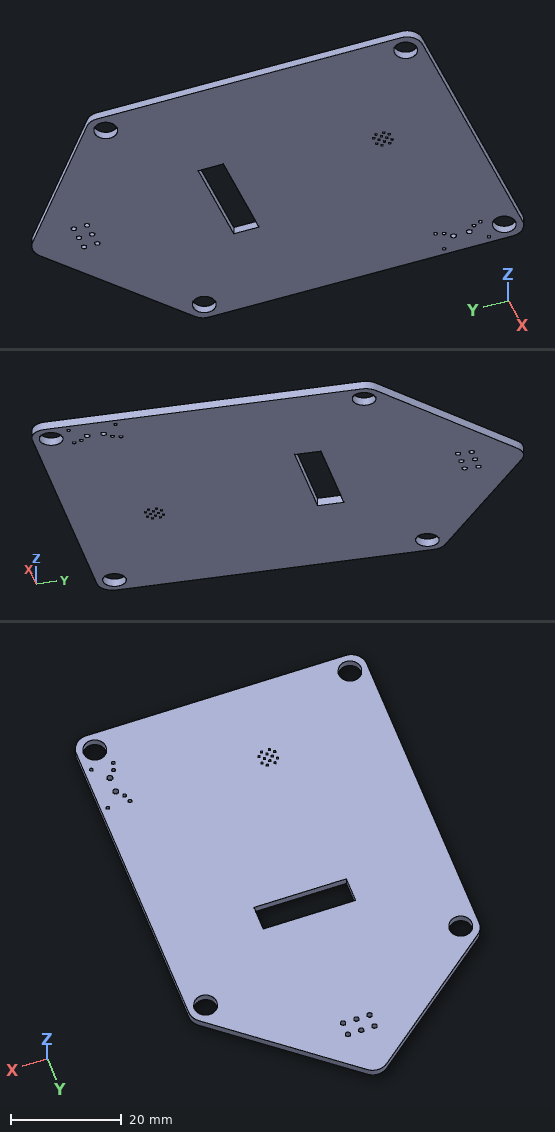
import cadquery as cq
import math

width = 55.9
length = 85.15
thickness = 1.6
corner_radius = 3.0
shoulder_height = 61.9

mount_diameter = 4.3
mount_x = 24.5
mount_bottom_y = 3.4
mount_top_y = 61.5

window_width = 17.7
window_height = 4.85
window_center = (0.25, 47.35)

header_diameter = 0.9
header_pitch = 2.55
header_center = (0.0, 74.9)

via_diameter = 0.4
via_pitch = 0.75
via_center = (-4.35, 15.7)
via_reach = 2

connector_y = 11.5
connector_pairs = [
    (22.3, 4.35, 0.65),
    (26.6, 4.35, 0.6),
    (22.8, 2.9, 0.65),
    (24.0, 1.5, 1.0),
]


def make_board():
    side = width / 2
    arc_x = side - corner_radius
    apex_center_y = length - corner_radius
    slope = math.atan2(apex_center_y - shoulder_height, arc_x)

    edge_dx = corner_radius * math.sin(slope)
    edge_dy = corner_radius * math.cos(slope)
    shoulder_mid_angle = (math.pi / 2 - slope) / 2
    mid_dx = corner_radius * math.cos(shoulder_mid_angle)
    mid_dy = corner_radius * math.sin(shoulder_mid_angle)

    corner_mid = corner_radius * (1 - math.sqrt(0.5))
    return (
        cq.Workplane("XY")
        .moveTo(-arc_x, 0)
        .lineTo(arc_x, 0)
        .threePointArc((side - corner_mid, corner_mid), (side, corner_radius))
        .lineTo(side, shoulder_height)
        .threePointArc(
            (arc_x + mid_dx, shoulder_height + mid_dy),
            (arc_x + edge_dx, shoulder_height + edge_dy),
        )
        .lineTo(edge_dx, apex_center_y + edge_dy)
        .threePointArc((0, length), (-edge_dx, apex_center_y + edge_dy))
        .lineTo(-arc_x - edge_dx, shoulder_height + edge_dy)
        .threePointArc(
            (-arc_x - mid_dx, shoulder_height + mid_dy),
            (-side, shoulder_height),
        )
        .lineTo(-side, corner_radius)
        .threePointArc((-side + corner_mid, corner_mid), (-arc_x, 0))
        .close()
        .extrude(thickness)
    )


def drill(board, points, diameter):
    """Cut round holes through the board at the given points."""
    drills = cq.Workplane("XY").pushPoints(points).circle(diameter / 2).extrude(thickness)
    return board.cut(drills)


def cut_window(board):
    window = (
        cq.Workplane("XY")
        .center(*window_center)
        .rect(window_width, window_height)
        .extrude(thickness)
    )
    return board.cut(window)


def drill_mounts(board):
    points = [(x, y) for x in (-mount_x, mount_x) for y in (mount_bottom_y, mount_top_y)]
    return drill(board, points, mount_diameter)


def drill_header(board):
    center_x, center_y = header_center
    points = [
        (center_x + column * header_pitch, center_y + row * header_pitch)
        for column in (-1, 0, 1)
        for row in (-0.5, 0.5)
    ]
    return drill(board, points, header_diameter)


def drill_vias(board):
    center_x, center_y = via_center
    steps = range(-via_reach, via_reach + 1)
    points = [
        (center_x + column * via_pitch, center_y + row * via_pitch)
        for column in steps
        for row in steps
        if (column + row) % 2 == 1
    ]
    return drill(board, points, via_diameter)


def drill_connector(board):
    for x, distance, diameter in connector_pairs:
        points = [(x, connector_y - distance), (x, connector_y + distance)]
        board = drill(board, points, diameter)
    return board


result = make_board()
result = cut_window(result)
result = drill_mounts(result)
result = drill_header(result)
result = drill_vias(result)
result = drill_connector(result)